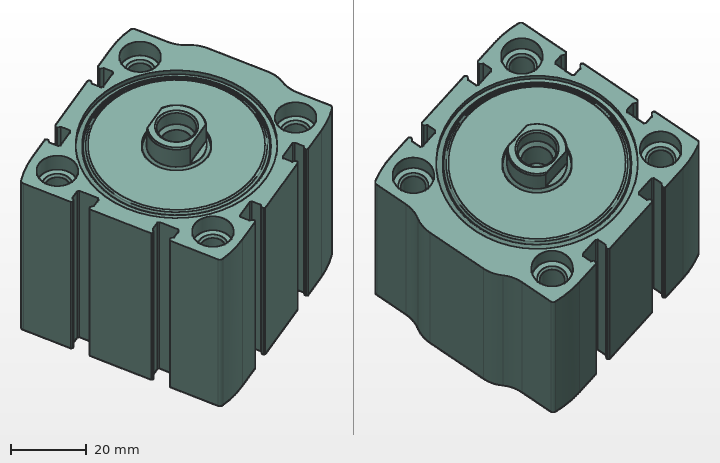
import cadquery as cq
import math

BODY_WIDTH = 63.0
HALF_WIDTH = BODY_WIDTH / 2
BUMP_HEIGHT = 3.0
BODY_HEIGHT = 57.0
ROD_PROJECTION = 7.0

BULGE_START = 22.2
CORNER_HALF_WIDTH = 29.95
CORNER_RADIUS = 1.05
BUMP_TOP_HALF_WIDTH = 9.0
BUMP_RADIUS = 10.0

SLOT_OFFSET = 12.0
SLOT_MOUTH = 5.0
SLOT_WIDTH = 6.4
SLOT_DEPTH = 4.6
LIP_THICKNESS = 0.85
LIP_CHAMFER = 0.3
SLOT_FLOOR_CHAMFER = 0.4

MOUNT_OFFSET = 23.3
MOUNT_DIAMETER = 6.65
MOUNT_CHAMFER_DIAMETER = 8.0
COUNTERBORE_DIAMETER = 11.0
COUNTERBORE_DEPTH = 5.4

GROOVE_RADIUS = 53.3 / 2
GROOVE_DEPTH = 1.5
CREST_RADIUS = 50.0 / 2
CREST_DEPTH = 0.6
CAP_FOOT_RADIUS = 24.7
CAP_FOOT_DEPTH = 1.1
CAP_EDGE_RADIUS = 24.0
CAP_EDGE_DEPTH = 0.5
CAP_FACE_RADIUS = 23.4
CAP_FACE_DEPTH = 0.25

WIPER_RADIUS = 9.25
WIPER_DEPTH = 1.3
WIPER_FOOT_RADIUS = 18.1 / 2

ROD_RADIUS = 16.0 / 2
ROD_LENGTH = 39.6
ROD_CHAMFER_HEIGHT = 0.5
ROD_CHAMFER_INSET = 0.3
FLAT_HALF_WIDTH = 6.55
FLAT_LENGTH = 6.6
FLAT_END_ANGLE = 30.0
MOUTH_RADIUS = 11.5 / 2
BORE_RADIUS = 10.5 / 2
BORE_DEPTH = 4.9
THREAD_RADIUS = 8.4 / 2
THREAD_DEPTH = 14.5
DRILL_POINT_HALF_ANGLE = 59.0


def revolve_profile(points):
    """Solid of revolution about Z from (radius, height) points."""
    return cq.Workplane("XZ").polyline(points).close().revolve(360, (0, 0, 0), (0, 1, 0))


def bulge_point(x_side, y_side):
    """Midpoint of a bulge arc, which leaves the flat side tangentially."""
    run = HALF_WIDTH - BULGE_START
    drop = HALF_WIDTH - CORNER_HALF_WIDTH
    radius = (run**2 + drop**2) / (2 * drop)
    half_turn = math.asin(run / radius) / 2
    x = HALF_WIDTH - radius * (1 - math.cos(half_turn))
    y = BULGE_START + radius * math.sin(half_turn)
    return (x_side * x, y_side * y)


def housing_outline():
    """Extruded outline: square with bulged side ends and a raised bump along +Y."""
    turn = math.acos(1 - BUMP_HEIGHT / (2 * BUMP_RADIUS))
    half_run = BUMP_RADIUS * math.sin(turn)
    bump_foot = BUMP_TOP_HALF_WIDTH + 2 * half_run
    bump_middle_x = BUMP_TOP_HALF_WIDTH + half_run
    bump_middle_y = HALF_WIDTH + BUMP_HEIGHT / 2
    bump_top = HALF_WIDTH + BUMP_HEIGHT
    body = (
        cq.Workplane("XY")
        .moveTo(HALF_WIDTH, -BULGE_START)
        .lineTo(HALF_WIDTH, BULGE_START)
        .tangentArcPoint((CORNER_HALF_WIDTH, HALF_WIDTH), relative=False)
        .lineTo(bump_foot, HALF_WIDTH)
        .tangentArcPoint((bump_middle_x, bump_middle_y), relative=False)
        .tangentArcPoint((BUMP_TOP_HALF_WIDTH, bump_top), relative=False)
        .lineTo(-BUMP_TOP_HALF_WIDTH, bump_top)
        .tangentArcPoint((-bump_middle_x, bump_middle_y), relative=False)
        .tangentArcPoint((-bump_foot, HALF_WIDTH), relative=False)
        .lineTo(-CORNER_HALF_WIDTH, HALF_WIDTH)
        .threePointArc(bulge_point(-1, 1), (-HALF_WIDTH, BULGE_START))
        .lineTo(-HALF_WIDTH, -BULGE_START)
        .tangentArcPoint((-CORNER_HALF_WIDTH, -HALF_WIDTH), relative=False)
        .lineTo(CORNER_HALF_WIDTH, -HALF_WIDTH)
        .threePointArc(bulge_point(1, -1), (HALF_WIDTH, -BULGE_START))
        .close()
        .extrude(BODY_HEIGHT)
    )
    for x in (-CORNER_HALF_WIDTH, CORNER_HALF_WIDTH):
        for y in (-HALF_WIDTH, HALF_WIDTH):
            corner = cq.selectors.NearestToPointSelector((x, y, BODY_HEIGHT / 2))
            body = body.edges(corner).fillet(CORNER_RADIUS)
    return body


def slot_cutter():
    """T-slot opening at x = 0 and running inwards along +X, with 45 degree shoulders."""
    half_mouth = SLOT_MOUTH / 2
    half_width = SLOT_WIDTH / 2
    shoulder = LIP_THICKNESS + half_width - half_mouth
    upper = [
        (0, half_mouth + LIP_CHAMFER),
        (LIP_CHAMFER, half_mouth),
        (LIP_THICKNESS, half_mouth),
        (shoulder, half_width),
        (SLOT_DEPTH - SLOT_FLOOR_CHAMFER, half_width),
        (SLOT_DEPTH, half_width - SLOT_FLOOR_CHAMFER),
    ]
    lower = [(x, -y) for x, y in reversed(upper)]
    return cq.Workplane("XY").polyline(upper + lower).close().extrude(BODY_HEIGHT)


def all_slots():
    """Two slots in each of the -X, +X and -Y sides."""
    slots = cq.Workplane("XY")
    for side_angle in (0, 90, 180):
        for offset in (-SLOT_OFFSET, SLOT_OFFSET):
            slot = slot_cutter().translate((-HALF_WIDTH, offset, 0))
            slots = slots.add(slot.rotate((0, 0, 0), (0, 0, 1), side_angle))
    return slots.combine()


def mounting_holes():
    """Through hole with a chamfered mouth under a counterbore, in each corner."""
    hole_radius = MOUNT_DIAMETER / 2
    counterbore_radius = COUNTERBORE_DIAMETER / 2
    chamfer_radius = MOUNT_CHAMFER_DIAMETER / 2
    floor = BODY_HEIGHT - COUNTERBORE_DEPTH
    hole = revolve_profile([
        (0, 0),
        (hole_radius, 0),
        (hole_radius, floor - (chamfer_radius - hole_radius)),
        (chamfer_radius, floor),
        (counterbore_radius, floor),
        (counterbore_radius, BODY_HEIGHT),
        (0, BODY_HEIGHT),
    ])
    holes = cq.Workplane("XY")
    for x in (-MOUNT_OFFSET, MOUNT_OFFSET):
        for y in (-MOUNT_OFFSET, MOUNT_OFFSET):
            holes = holes.add(hole.translate((x, y, 0)))
    return holes.combine()


def top_recess():
    """Cutter for the ring groove, sloped cap edge, cap face, wiper recess and rod hole."""
    top = BODY_HEIGHT
    face = top - CAP_FACE_DEPTH
    rod_end = top + ROD_PROJECTION - ROD_LENGTH
    return revolve_profile([
        (0, top),
        (GROOVE_RADIUS, top),
        (GROOVE_RADIUS, top - GROOVE_DEPTH),
        (CREST_RADIUS, top - CREST_DEPTH),
        (CREST_RADIUS, top - CAP_FOOT_DEPTH),
        (CAP_FOOT_RADIUS, top - CAP_FOOT_DEPTH),
        (CAP_EDGE_RADIUS, top - CAP_EDGE_DEPTH),
        (CAP_FACE_RADIUS, face),
        (WIPER_RADIUS, face),
        (WIPER_RADIUS, top - WIPER_DEPTH),
        (WIPER_FOOT_RADIUS, top - WIPER_DEPTH),
        (ROD_RADIUS, face),
        (ROD_RADIUS, rod_end),
        (0, rod_end),
    ])


def make_housing():
    """Extruded housing with its slots, mounting holes and top recess."""
    return housing_outline().cut(all_slots()).cut(mounting_holes()).cut(top_recess())


def rod_bore(top):
    """Cutter for the rod socket: chamfered mouth, wide bore, tapered step, core and drill point."""
    core_end = top - THREAD_DEPTH
    point = core_end - THREAD_RADIUS / math.tan(math.radians(DRILL_POINT_HALF_ANGLE))
    return revolve_profile([
        (0, top),
        (MOUTH_RADIUS, top),
        (BORE_RADIUS, top - (MOUTH_RADIUS - BORE_RADIUS)),
        (BORE_RADIUS, top - BORE_DEPTH),
        (THREAD_RADIUS, top - BORE_DEPTH - (BORE_RADIUS - THREAD_RADIUS)),
        (THREAD_RADIUS, core_end),
        (0, point),
    ])


def flat_cutter(top):
    """Block that cuts the +X wrench flat, ending in a sloped run-out."""
    run_out = ROD_RADIUS - FLAT_HALF_WIDTH
    flat_end = top - FLAT_LENGTH
    return (
        cq.Workplane("XZ")
        .polyline([
            (FLAT_HALF_WIDTH, top),
            (FLAT_HALF_WIDTH, flat_end),
            (ROD_RADIUS, flat_end - run_out * math.tan(math.radians(FLAT_END_ANGLE))),
            (ROD_RADIUS, top),
        ])
        .close()
        .extrude(ROD_RADIUS, both=True)
    )


def make_rod():
    """Piston rod with a chamfered end, two wrench flats and a socket."""
    top = BODY_HEIGHT + ROD_PROJECTION
    bottom = top - ROD_LENGTH
    rod = revolve_profile([
        (0, bottom),
        (ROD_RADIUS, bottom),
        (ROD_RADIUS, top - ROD_CHAMFER_HEIGHT),
        (ROD_RADIUS - ROD_CHAMFER_INSET, top),
        (0, top),
    ])
    flat = flat_cutter(top)
    return rod.cut(flat).cut(flat.mirror("YZ")).cut(rod_bore(top))


housing = make_housing()
rod = make_rod()

result = cq.Compound.makeCompound([housing.val(), rod.val()])